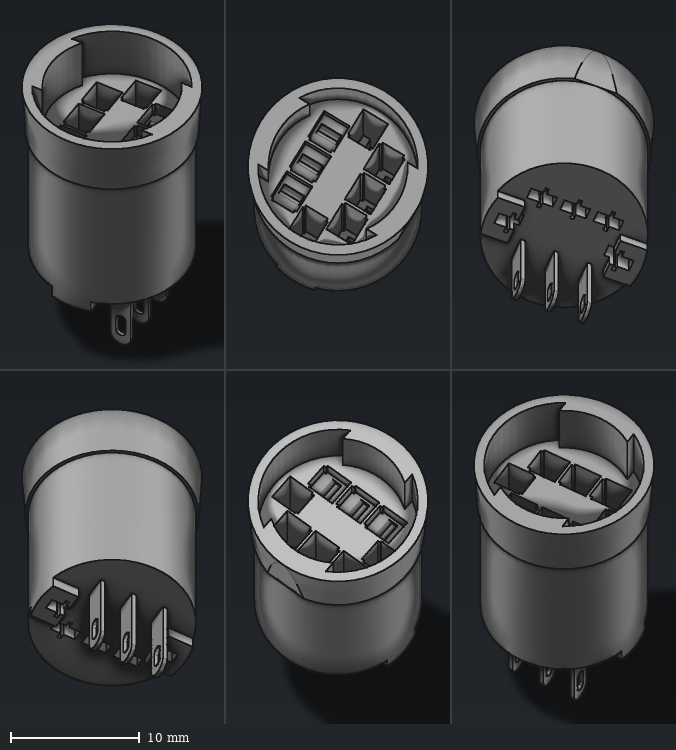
import cadquery as cq
import math

total_height = 24.0
rim_height = 4.55
body_bottom = 6.86
foot_bottom = 5.85
rim_bottom = total_height - rim_height
cavity_floor = rim_bottom

body_radius = 13.0 / 2
rim_top_radius = 14.0 / 2
rim_base_radius = 6.75
flat_top_offset = rim_top_radius
flat_base_offset = body_radius

cavity_radius = 6.2
key_radius = 5.4
key_half_width = 3.07

foot_width = 3.5
foot_inner = 4.0

row_offset = 2.5
cell_pitch = 2.78
side_cell = 2.33
side_notch_width = 1.95
end_offset = 4.5
end_cell = 2.25
end_notch_width = 2.0
notch_depth = 0.22
open_cell_floor_thickness = 2.0
fitted_cell_depth = 1.1

side_slot_width = 0.9
side_bar_length = 1.78
end_slot_width = 0.95
end_bar_length = 1.82
bar_width = 0.3
slot_end_margin = 0.17

tail_width = 1.82
tail_thickness = 0.35
eyelet_width = 0.85
eyelet_bottom = 0.95
eyelet_top = 3.02
contact_back = 0.45
lip_radius = 0.3
trough_front = -0.12
contact_front = -0.38
front_rise = 0.17

row_positions = [-cell_pitch, 0, cell_pitch]


def box(width, depth, z_low, z_high, x=0.0, y=0.0):
    """Box centred on (x, y) between two heights."""
    block = cq.Workplane("XY").box(width, depth, z_high - z_low, centered=(True, True, False))
    return block.translate((x, y, z_low))


def cylinder(radius, z_low, z_high):
    return cq.Workplane("XY").workplane(offset=z_low).circle(radius).extrude(z_high - z_low)


def make_rim():
    """Flared rim with one sloping flat on its -X side."""
    cone = (
        cq.Workplane("XZ")
        .polyline([(0, rim_bottom), (rim_base_radius, rim_bottom),
                   (rim_top_radius, total_height), (0, total_height)])
        .close()
        .revolve(360, (0, 0, 0), (0, 1, 0))
    )
    outside = -2 * rim_top_radius
    beyond_flat = (
        cq.Workplane("XZ")
        .polyline([(-flat_base_offset, rim_bottom), (-flat_top_offset, total_height),
                   (outside, total_height), (outside, rim_bottom)])
        .close()
        .extrude(rim_top_radius, both=True)
    )
    return cone.cut(beyond_flat)


def make_cavity():
    """Round cavity narrowed by a key on the +X and -X sides."""
    key_band = box(2 * rim_top_radius, 2 * key_half_width, cavity_floor, total_height)
    wide_part = cylinder(cavity_radius, cavity_floor, total_height).cut(key_band)
    return wide_part.union(cylinder(key_radius, cavity_floor, total_height))


def make_feet():
    """Two feet under the body, bounded outside by the body cylinder."""
    foot_depth = body_radius - foot_inner
    foot_centre = foot_inner + foot_depth / 2
    feet = box(foot_width, foot_depth, foot_bottom, body_bottom, y=foot_centre)
    feet = feet.union(box(foot_width, foot_depth, foot_bottom, body_bottom, y=-foot_centre))
    return feet.intersect(cylinder(body_radius, foot_bottom, body_bottom))


def make_cell(x, y, size, notch_width, notch_side, floor_height):
    """Square pocket widened by a shallow notch; notch_side is +1 or -1 along Y."""
    pocket = box(size, size, floor_height, cavity_floor, x, y)
    notch_y = y + notch_side * notch_depth / 2
    return pocket.union(box(notch_width, size + notch_depth, floor_height, cavity_floor, x, notch_y))


def make_open_cell(x, y, size, notch_width, notch_side, slot_width, bar_length):
    """Deep cell whose floor has a cross-shaped opening through the part."""
    floor_height = body_bottom + open_cell_floor_thickness
    cell = make_cell(x, y, size, notch_width, notch_side, floor_height)
    slot_y = y - notch_side * slot_end_margin / 2
    slot = box(slot_width, size - slot_end_margin, foot_bottom, cavity_floor, x, slot_y)
    bar = box(bar_length, bar_width, foot_bottom, cavity_floor, x, y)
    return cell.union(slot).union(bar)


def make_contact_recess(x, y, floor_height):
    """Trough in a cell floor whose surface is the rolled lip of the spring contact."""
    trough = floor_height - lip_radius
    trough_back = contact_back - lip_radius
    lip_step = lip_radius * (1 - math.sqrt(0.5))
    return (
        cq.Workplane("YZ")
        .moveTo(y + contact_back, floor_height)
        .threePointArc((y + trough_back + lip_step, floor_height - lip_step), (y + trough_back, trough))
        .lineTo(y + trough_front, trough)
        .tangentArcPoint((y + contact_front, trough + front_rise), relative=False)
        .lineTo(y + contact_front, floor_height)
        .close()
        .extrude(tail_width)
        .translate((x - tail_width / 2, 0, 0))
    )


def make_tail(x, y):
    """Flat solder tail with a round end and an oblong eyelet."""
    end_radius = tail_width / 2
    strip = box(tail_width, tail_thickness, end_radius, body_bottom, x, y)
    round_end = (
        cq.Workplane("XZ").center(x, end_radius).circle(end_radius)
        .extrude(tail_thickness / 2, both=True).translate((0, y, 0))
    )
    eyelet = (
        cq.Workplane("XZ").center(x, (eyelet_bottom + eyelet_top) / 2)
        .slot2D(eyelet_top - eyelet_bottom, eyelet_width, 90)
        .extrude(tail_thickness, both=True).translate((0, y, 0))
    )
    return strip.union(round_end).cut(eyelet)


result = cylinder(body_radius, body_bottom, rim_bottom)
result = result.union(make_rim()).union(make_feet()).cut(make_cavity())

for row_y in row_positions:
    result = result.cut(make_open_cell(-row_offset, row_y, side_cell, side_notch_width, -1,
                                       side_slot_width, side_bar_length))

for side in (-1, 1):
    result = result.cut(make_open_cell(0, side * end_offset, end_cell, end_notch_width, -side,
                                       end_slot_width, end_bar_length))

fitted_floor = cavity_floor - fitted_cell_depth
for row_y in row_positions:
    result = result.cut(make_cell(row_offset, row_y, side_cell, side_notch_width, 1, fitted_floor))
    result = result.cut(make_contact_recess(row_offset, row_y, fitted_floor))
    result = result.union(make_tail(row_offset, row_y))